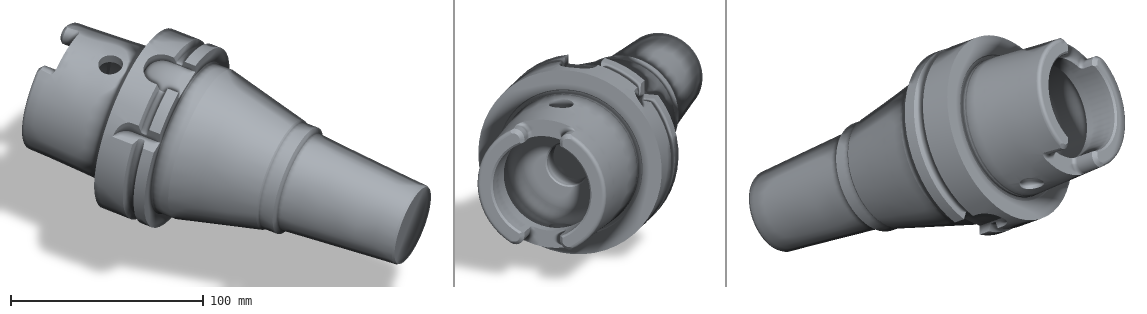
import cadquery as cq
import math


shank_length = 50.0
shank_root_radius = 37.5
taper_slope = 1 / 20
shank_end_fillet = 2.0
relief_start = -2.3
relief_end = -0.8
relief_depth = 0.12
relief_flank = 0.5
face_groove_radius = 39.6
face_groove_depth = 0.5

flange_radius = 50.0
flange_width = 29.0
grip_groove_center = 19.7
grip_groove_half_width = 3.1
grip_groove_depth = 4.0
grip_groove_fillet = 0.9
grip_wall_angle = math.radians(22)

nose_length = 160.0
body_radius = 41.5
body_edge_step = 0.8
body_end = 38.7
cone_end = 84.4
cone_end_radius = 30.5
collar_start = 85.5
collar_end = 93.4
collar_radius = 29.6
tip_start = 95.0
tip_start_radius = 27.0
tip_end_radius = 22.0
tip_chamfer_length = 1.2
tip_chamfer_height = 0.6

lip_radius = 26.5
lip_length = 19.8
lip_chamfer = 1.0
chamber_radius = 31.0
chamber_floor = -4.0
chamber_floor_fillet = 6.2
pilot_radius = 12.2
pilot_chamfer = 0.7
pilot_depth = 12.0

cross_hole_radius = 6.4
cross_hole_x = -15.2

drive_slot_half_width = 9.7
drive_slot_shoulder = 31.5
drive_slot_round_radius = 5.0
drive_slot_floor_fillet = 2.0
drive_slot_mouth_chamfer = 2.0
upper_drive_slot_depth = 9.6
lower_drive_slot_depth = 14.4

keyway_half_width = 9.9
keyway_start = 5.3
keyway_end_radius = 9.0
keyway_floor = 44.0

notch_offset = 31.5
notch_start = 5.2
notch_end_radius = 7.9


def shank_radius(x):
    return shank_root_radius + taper_slope * x


def revolved_about_axis(profile):
    return profile.close().revolve(360, (0, 0, 0), (1, 0, 0))


def holder_body():
    relief_radius = shank_radius(relief_start) - relief_depth
    groove_bottom_half = grip_groove_half_width - grip_groove_depth * math.tan(grip_wall_angle)
    groove_bottom_radius = flange_radius - grip_groove_depth
    profile = (
        cq.Workplane("XY")
        .moveTo(-shank_length, 0)
        .lineTo(-shank_length, shank_radius(-shank_length))
        .lineTo(relief_start, shank_radius(relief_start))
        .lineTo(relief_start + relief_flank, relief_radius)
        .lineTo(relief_end - relief_flank, relief_radius)
        .lineTo(relief_end, shank_root_radius)
        .lineTo(face_groove_depth, shank_root_radius)
        .lineTo(face_groove_depth, face_groove_radius - face_groove_depth)
        .lineTo(0, face_groove_radius)
        .lineTo(0, flange_radius)
        .lineTo(grip_groove_center - grip_groove_half_width, flange_radius)
        .lineTo(grip_groove_center - groove_bottom_half, groove_bottom_radius)
        .lineTo(grip_groove_center + groove_bottom_half, groove_bottom_radius)
        .lineTo(grip_groove_center + grip_groove_half_width, flange_radius)
        .lineTo(flange_width, flange_radius)
        .lineTo(flange_width, body_radius + body_edge_step)
        .lineTo(flange_width + body_edge_step, body_radius)
        .lineTo(body_end, body_radius)
        .lineTo(cone_end, cone_end_radius)
        .lineTo(collar_start, collar_radius)
        .lineTo(collar_end, collar_radius)
        .lineTo(tip_start, tip_start_radius)
        .lineTo(nose_length - tip_chamfer_length, tip_end_radius)
        .lineTo(nose_length, tip_end_radius - tip_chamfer_height)
        .lineTo(nose_length, 0)
    )
    body = revolved_about_axis(profile)

    groove_box = cq.selectors.BoxSelector(
        (grip_groove_center - grip_groove_half_width, -flange_radius, -flange_radius),
        (grip_groove_center + grip_groove_half_width, flange_radius, flange_radius),
    )
    groove_bottom_edges = cq.selectors.RadiusNthSelector(0)
    body = body.edges(groove_box).edges(groove_bottom_edges).fillet(grip_groove_fillet)
    return body.faces("<X").edges().fillet(shank_end_fillet)


def shank_bore():
    lip_end = -shank_length + lip_length
    pilot_end = chamber_floor + pilot_depth
    profile = (
        cq.Workplane("XY")
        .moveTo(-shank_length, 0)
        .lineTo(-shank_length, lip_radius + lip_chamfer)
        .lineTo(-shank_length + lip_chamfer, lip_radius)
        .lineTo(lip_end, lip_radius)
        .lineTo(lip_end, chamber_radius)
        .lineTo(chamber_floor - chamber_floor_fillet, chamber_radius)
        .radiusArc((chamber_floor, chamber_radius - chamber_floor_fillet), chamber_floor_fillet)
        .lineTo(chamber_floor, pilot_radius)
        .lineTo(chamber_floor + pilot_chamfer, pilot_radius - pilot_chamfer)
        .lineTo(pilot_end, pilot_radius - pilot_chamfer)
        .lineTo(pilot_end, 0)
    )
    return revolved_about_axis(profile)


def cross_hole():
    return (
        cq.Workplane("XY")
        .center(cross_hole_x, 0)
        .circle(cross_hole_radius)
        .extrude(flange_radius, both=True)
    )


def drive_slot_outline(plane, growth):
    """Slot section that opens over rounded corners to flat shoulders, widened all round by growth."""
    half = drive_slot_half_width + growth
    round_radius = drive_slot_round_radius - growth
    shoulder = drive_slot_shoulder - growth
    round_start = shoulder - round_radius
    shoulder_start = half + round_radius
    far = flange_radius
    return (
        plane
        .moveTo(-half, 0)
        .lineTo(half, 0)
        .lineTo(half, round_start)
        .radiusArc((shoulder_start, shoulder), round_radius)
        .lineTo(far, shoulder)
        .lineTo(far, far)
        .lineTo(-far, far)
        .lineTo(-far, shoulder)
        .lineTo(-shoulder_start, shoulder)
        .radiusArc((-half, round_start), round_radius)
        .close()
    )


def drive_slot(depth, side):
    """Slot across the shank end at +Z (side 1) or -Z (side -1) with a chamfered mouth."""
    end_plane = cq.Workplane("YZ", origin=(-shank_length, 0, 0))
    slot = (
        drive_slot_outline(end_plane, 0)
        .extrude(depth)
        .faces(">X")
        .edges()
        .fillet(drive_slot_floor_fillet)
    )
    mouth = drive_slot_outline(end_plane, drive_slot_mouth_chamfer)
    mouth = drive_slot_outline(mouth.workplane(offset=drive_slot_mouth_chamfer), 0).loft(ruled=True)
    slot = slot.union(mouth)
    if side < 0:
        slot = slot.mirror("XY")
    return slot


def keyway(side):
    """Round-ended flat in the flange rim at +Z (side 1) or -Z (side -1), open toward the nose."""
    length = flange_width - keyway_start
    slot = (
        cq.Workplane("XY")
        .box(length, 2 * keyway_half_width, flange_radius - keyway_floor, centered=(False, True, False))
        .edges("|Z and <X")
        .fillet(keyway_end_radius)
        .translate((keyway_start, 0, keyway_floor))
    )
    if side < 0:
        slot = slot.mirror("XY")
    return slot


def orientation_notch():
    """Square step in the -Y, +Z corner of the flange with one rounded inner end."""
    return (
        cq.Workplane("XY", origin=(0, 0, notch_offset))
        .moveTo(notch_start, -flange_radius)
        .lineTo(notch_start, -notch_offset - notch_end_radius)
        .radiusArc((notch_start + notch_end_radius, -notch_offset), notch_end_radius)
        .lineTo(flange_width, -notch_offset)
        .lineTo(flange_width, -flange_radius)
        .close()
        .extrude(flange_radius)
    )


result = holder_body().cut(shank_bore()).cut(cross_hole())
for side, depth in ((1, upper_drive_slot_depth), (-1, lower_drive_slot_depth)):
    result = result.cut(drive_slot(depth, side))
    result = result.cut(keyway(side))
result = result.cut(orientation_notch())